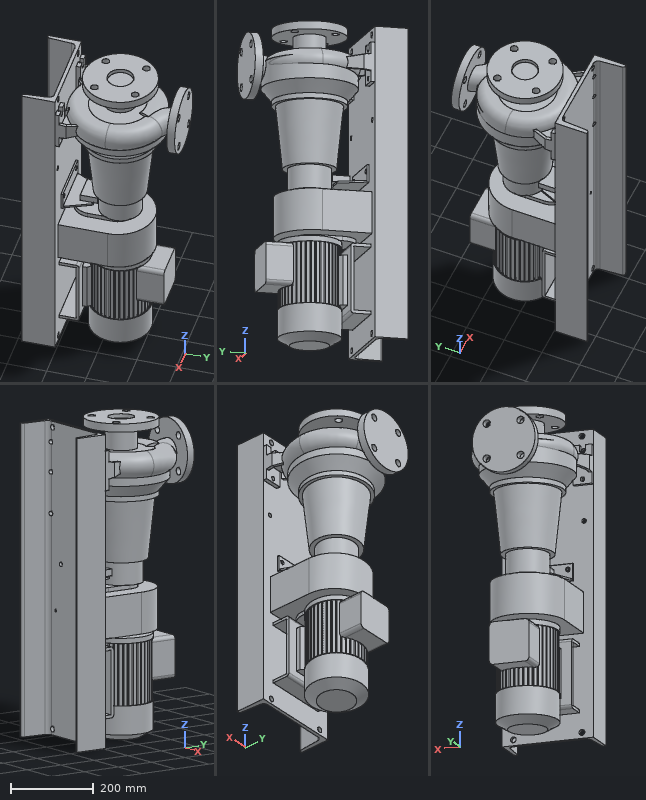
import cadquery as cq
import math


total_height = 793.0
mount_y = -132.0
pump_bottom = 384.0
guard_bottom = 258.0

channel_width = 239.5
channel_depth = 85.0
channel_length = 779.5
channel_bottom = 3.0
web_thickness = 9.5
leg_tip_thickness = 9.5
leg_root_thickness = 15.0
root_radius = 13.0
tip_radius = 6.0
corner_hole_x = 90.0
corner_hole_edge = 15.0
corner_hole_diameter = 14.0
bolt_x = 95.0
bolt_heights = (553.0, 656.0, 730.0)
bolt_diameter = 11.0
support_hole_x = 55.0
support_hole_z = 433.0
guard_hole_x = 77.0
guard_hole_z = 315.0
guard_hole_diameter = 6.0

flange_thickness = 21.0
bolt_hole_diameter = 18.0
suction_flange_diameter = 185.5
suction_bolt_circle = 145.0
suction_bore_diameter = 65.0
suction_bore_depth = 10.0
neck_radius = 40.5
discharge_flange_diameter = 165.0
discharge_bolt_circle = 125.0
discharge_y = 160.0
volute_z = 692.0
tube_diameter = 64.0
core_radius = 86.0
core_top = 716.0
casing_radius = 119.0
casing_top = 703.0
casing_bottom = 643.0
cover_top = 612.0
cover_radius = 93.0
cover_bottom = 599.5
bracket_top_radius = 83.0
bracket_bottom_radius = 67.0
bracket_bottom = 442.5
bearing_radius = 54.0

lower_arc_center = 8.0
lower_arc_radius = 97.5
inner_arc_radius = 86.0
inner_arc_sweep = 120
outer_arc_center = 5.5

foot_outer_x = 120.0
foot_inner_x = 70.5
foot_top = 742.0
pad_thickness = 10.0
slot_width = 16.0
foot_wall = 8.0
knee_y = -105.0
wall_end = (91.0, -45.0)
rib_end = (32.0, -103.0)
wall_half_height_low = 22.0
wall_half_height_high = 13.5
wall_top_y = -65.0
foot_floor_thickness = 8.0

block_half_width = 32.0
block_front_y = -49.0
block_back_y = -93.0
block_top = 425.0
block_bottom = 408.0
sheet_thickness = 5.0
support_front_y = -59.5
support_front_half_width = 36.0
support_back_half_width = 67.5
support_flange_top = 447.0

guard_radius = 94.0
guard_center_y = -6.0
guard_ring_thickness = 11.0
guard_ring_radius = 46.0
guard_ring_length = 63.5

motor_flange_radius = 78.5
cowl_radius = 78.5
cowl_end_radius = 49.0
fin_top = 244.0
fin_bottom = 90.0
cowl_bottom = 17.5
fin_count = 40
fin_tip_radius = 76.0
fin_root_radius = 68.0
fin_thickness = 9.0
fin_seat = 4.0
box_half_width = 52.0
box_front_y = 124.5
box_back_y = 52.0
box_bottom = 136.0
box_edge_radius = 10.0
motor_foot_half_width = 55.5
motor_foot_top_half_width = 44.0
motor_foot_shoulder_y = -69.0
motor_foot_top_y = -57.0
motor_foot_top = 220.0
motor_foot_bottom = 94.0
cradle_y = -81.0
cradle_half_width = 83.0
cradle_bottom = 68.0
cradle_thickness = 8.0


def box(x_range, y_range, z_range):
    """Axis-aligned block between the given limits."""
    size = [high - low for low, high in (x_range, y_range, z_range)]
    corner = (x_range[0], y_range[0], z_range[0])
    return cq.Workplane("XY").box(*size, centered=False).translate(corner)


def cylinder(radius, bottom, top):
    """Round disc on the pump axis."""
    return cq.Workplane("XY").workplane(offset=bottom).circle(radius).extrude(top - bottom)


def mirrored_points(x, z):
    """The same hole place on both sides of X = 0."""
    return [(-x, z), (x, z)]


def back_holes(points, diameter, depth):
    """Cutter for holes along Y, from the mounting face to the given depth on each side of it."""
    plane = cq.Workplane("XZ", origin=(0, mount_y, 0))
    return plane.pushPoints(points).circle(diameter / 2).extrude(depth, both=True)


def make_channel():
    half = channel_width / 2
    tip_y = mount_y - channel_depth
    web_y = mount_y - web_thickness
    tip_x = half - leg_tip_thickness
    root_x = half - leg_root_thickness
    outline = [
        (-half, mount_y), (half, mount_y), (half, tip_y), (tip_x, tip_y), (root_x, web_y),
        (-root_x, web_y), (-tip_x, tip_y), (-half, tip_y),
    ]
    channel = cq.Workplane("XY").polyline(outline).close().extrude(channel_length)
    for side in (-1, 1):
        channel = channel.edges(cq.NearestToPointSelector((side * root_x, web_y, channel_length / 2)))
        channel = channel.fillet(root_radius)
        channel = channel.edges(cq.NearestToPointSelector((side * tip_x, tip_y, channel_length / 2)))
        channel = channel.fillet(tip_radius)
    channel = channel.translate((0, 0, channel_bottom))

    hole_depth = 2 * web_thickness
    channel_top = channel_bottom + channel_length
    for z in (channel_bottom + corner_hole_edge, channel_top - corner_hole_edge):
        channel = channel.cut(back_holes(mirrored_points(corner_hole_x, z), corner_hole_diameter, hole_depth))
    for z in bolt_heights:
        channel = channel.cut(back_holes(mirrored_points(bolt_x, z), bolt_diameter, hole_depth))
    support_points = mirrored_points(support_hole_x, support_hole_z)
    channel = channel.cut(back_holes(support_points, bolt_diameter, hole_depth))
    guard_points = mirrored_points(guard_hole_x, guard_hole_z)
    return channel.cut(back_holes(guard_points, guard_hole_diameter, hole_depth))


def make_casing():
    """Turned parts of the pump, from the suction flange down to the bearing bracket."""
    flange_radius = suction_flange_diameter / 2
    neck_top = total_height - flange_thickness
    profile = [
        (0, total_height), (flange_radius, total_height), (flange_radius, neck_top),
        (neck_radius, neck_top), (neck_radius, core_top), (core_radius, core_top),
        (core_radius, casing_top), (casing_radius, casing_top), (casing_radius, casing_bottom),
        (cover_radius, cover_top), (cover_radius, cover_bottom), (bracket_top_radius, cover_bottom),
        (bracket_bottom_radius, bracket_bottom), (bearing_radius, bracket_bottom),
        (bearing_radius, pump_bottom), (0, pump_bottom),
    ]
    casing = cq.Workplane("XZ").polyline(profile).close().revolve(360, (0, 0), (0, 1))
    bolts = (
        cq.Workplane("XY").workplane(offset=neck_top)
        .polarArray(suction_bolt_circle / 2, 45, 360, 4)
        .circle(bolt_hole_diameter / 2).extrude(flange_thickness)
    )
    bore = cylinder(suction_bore_diameter / 2, total_height - suction_bore_depth, total_height)
    return casing.cut(bolts).cut(bore)


def bent_tube(center_x, center_y, radius, first_angle, sweep):
    """Tube bent in the volute plane, running counter-clockwise from its first angle."""
    section = cq.Workplane("XZ").center(radius, 0).circle(tube_diameter / 2)
    bend = section.revolve(sweep, (-radius, 0), (-radius, 1))
    return bend.rotate((0, 0, 0), (0, 0, 1), first_angle).translate((center_x, center_y, volute_z))


def make_volute():
    start_x = lower_arc_center + lower_arc_radius
    end_x = lower_arc_center - lower_arc_radius
    outer_radius = start_x - outer_arc_center

    bend_radius = (outer_arc_center**2 + discharge_y**2 - outer_radius**2) / (
        2 * (outer_radius + outer_arc_center)
    )
    outer_sweep = math.degrees(math.acos((bend_radius - outer_arc_center) / (outer_radius + bend_radius)))

    lower = bent_tube(lower_arc_center, 0, lower_arc_radius, 180, 180)
    inner_first_angle = 180 - inner_arc_sweep
    inner = bent_tube(end_x + inner_arc_radius, 0, inner_arc_radius, inner_first_angle, inner_arc_sweep)
    outer = bent_tube(outer_arc_center, 0, outer_radius, 0, outer_sweep)
    outlet = bent_tube(bend_radius, discharge_y, bend_radius, 180, outer_sweep)
    return lower.union(inner).union(outer).union(outlet)


def make_discharge_flange():
    flange = (
        cq.Workplane("XZ", origin=(0, discharge_y, volute_z))
        .circle(discharge_flange_diameter / 2).extrude(flange_thickness)
    )
    bolts = (
        cq.Workplane("XZ", origin=(0, discharge_y, volute_z))
        .polarArray(discharge_bolt_circle / 2, 45, 360, 4)
        .circle(bolt_hole_diameter / 2).extrude(flange_thickness)
    )
    return flange, bolts


def make_pump_foot():
    """Foot on the +X side: a slotted pad with an outer wall, an inner rib and a floor between them."""
    pad_y = mount_y + pad_thickness
    pad = box((foot_inner_x, foot_outer_x), (mount_y, pad_y), (casing_bottom, foot_top))
    lower_bolt_z, upper_bolt_z = bolt_heights[1:]
    slot_end = back_holes([(bolt_x, upper_bolt_z)], slot_width, pad_thickness)
    slot_sides = (bolt_x - slot_width / 2, bolt_x + slot_width / 2)
    slot = slot_end.union(box(slot_sides, (mount_y, pad_y), (upper_bolt_z, foot_top)))
    pad = pad.cut(slot).cut(back_holes([(bolt_x, lower_bolt_z)], bolt_diameter, pad_thickness))

    foot_outline = [
        (foot_inner_x, mount_y), (foot_outer_x, mount_y), (foot_outer_x, knee_y), wall_end, rib_end,
    ]
    inner_outline = [
        (foot_inner_x + foot_wall, mount_y), (foot_outer_x - foot_wall, mount_y),
        (foot_outer_x - foot_wall, knee_y), (wall_end[0] - foot_wall, wall_end[1]),
        (rib_end[0], rib_end[1] + foot_wall),
    ]
    span = 2 * wall_half_height_low
    base = cq.Workplane("XY").workplane(offset=volute_z - wall_half_height_low)
    outside = base.polyline(foot_outline).close().extrude(span)
    walls = outside.cut(base.polyline(inner_outline).close().extrude(span))

    slope = (wall_half_height_low - wall_half_height_high) / (wall_top_y - mount_y)
    end_half_height = wall_half_height_low - slope * (wall_end[1] - mount_y)
    taper = [
        (mount_y, -wall_half_height_low), (mount_y, wall_half_height_low),
        (wall_end[1], end_half_height), (wall_end[1], -end_half_height),
    ]
    walls = walls.intersect(
        cq.Workplane("YZ", origin=(0, 0, volute_z)).polyline(taper).close().extrude(foot_outer_x)
    )
    half_floor = foot_floor_thickness / 2
    floor = (
        cq.Workplane("XY").workplane(offset=volute_z - half_floor)
        .polyline(foot_outline).close().extrude(foot_floor_thickness)
    )
    webbing = walls.union(floor).cut(box((0, foot_outer_x), (mount_y, pad_y), (casing_bottom, foot_top)))
    return pad.union(webbing)


def make_pump():
    flange, flange_bolts = make_discharge_flange()
    foot = make_pump_foot()
    block_x = (-block_half_width, block_half_width)
    block = box(block_x, (block_back_y, block_front_y), (block_bottom, block_top))
    pump = make_casing().union(make_volute()).union(flange)
    pump = pump.union(foot).union(foot.mirror("YZ")).union(block)
    return pump.cut(flange_bolts)


def make_support():
    """Bent sheet that holds the bearing block of the pump off the channel."""
    shelf_outline = [
        (-support_back_half_width, mount_y), (support_back_half_width, mount_y),
        (support_front_half_width, support_front_y), (-support_front_half_width, support_front_y),
    ]
    shelf_bottom = block_bottom - sheet_thickness
    shelf = (
        cq.Workplane("XY").workplane(offset=shelf_bottom)
        .polyline(shelf_outline).close().extrude(sheet_thickness)
    )
    back = box(
        (-support_back_half_width, support_back_half_width),
        (mount_y, mount_y + sheet_thickness),
        (shelf_bottom, support_flange_top),
    )
    holes = back_holes(mirrored_points(support_hole_x, support_hole_z), bolt_diameter, sheet_thickness)
    return shelf.union(back).cut(holes)


def make_guard():
    hood_bottom = guard_bottom + guard_ring_thickness
    hood_height = pump_bottom - guard_bottom - 2 * guard_ring_thickness
    hood = (
        cq.Workplane("XY").workplane(offset=hood_bottom)
        .moveTo(-guard_radius, mount_y).lineTo(guard_radius, mount_y)
        .lineTo(guard_radius, guard_center_y)
        .threePointArc((0, guard_center_y + guard_radius), (-guard_radius, guard_center_y))
        .close().extrude(hood_height)
    )
    rings = (
        cq.Workplane("XY").workplane(offset=guard_bottom)
        .center(0, guard_center_y - guard_ring_length / 2)
        .slot2D(guard_ring_length + 2 * guard_ring_radius, 2 * guard_ring_radius, 90)
        .extrude(pump_bottom - guard_bottom)
    )
    return hood.union(rings)


def make_cradle():
    """U-shaped strap between the motor foot and the channel."""
    strap = box((-cradle_half_width, cradle_half_width), (mount_y, cradle_y), (cradle_bottom, fin_top))
    strap = strap.edges("|X and >Y").fillet(cradle_thickness)
    opening = box(
        (-cradle_half_width, cradle_half_width),
        (mount_y, cradle_y - cradle_thickness),
        (cradle_bottom + cradle_thickness, fin_top - cradle_thickness),
    )
    return strap.cut(opening)


def make_motor():
    profile = [
        (0, guard_bottom), (motor_flange_radius, guard_bottom), (motor_flange_radius, fin_top),
        (fin_root_radius, fin_top), (fin_root_radius, fin_bottom), (cowl_radius, fin_bottom),
        (cowl_radius, cowl_bottom), (cowl_end_radius, 0), (0, 0),
    ]
    motor = cq.Workplane("XZ").polyline(profile).close().revolve(360, (0, 0), (0, 1))

    fin_length = fin_tip_radius - fin_root_radius + fin_seat
    fins = (
        cq.Workplane("XY").workplane(offset=fin_bottom)
        .polarArray(fin_tip_radius - fin_length / 2, 0, 360, fin_count)
        .rect(fin_length, fin_thickness).extrude(fin_top - fin_bottom)
    )
    terminal_box = box((-box_half_width, box_half_width), (box_back_y, box_front_y), (box_bottom, fin_top))
    terminal_box = terminal_box.edges("|Y").fillet(box_edge_radius)
    foot_outline = [
        (-motor_foot_half_width, cradle_y), (-motor_foot_half_width, motor_foot_shoulder_y),
        (-motor_foot_top_half_width, motor_foot_top_y), (motor_foot_top_half_width, motor_foot_top_y),
        (motor_foot_half_width, motor_foot_shoulder_y), (motor_foot_half_width, cradle_y),
    ]
    foot = (
        cq.Workplane("XY").workplane(offset=motor_foot_bottom)
        .polyline(foot_outline).close().extrude(motor_foot_top - motor_foot_bottom)
    )
    return motor.union(fins).union(terminal_box).union(foot).union(make_cradle())


channel = make_channel()
pump = make_pump()
support = make_support()
guard = make_guard()
motor = make_motor()

bodies = [channel, pump, support, guard, motor]
result = cq.Compound.makeCompound([body.solids().val() for body in bodies])